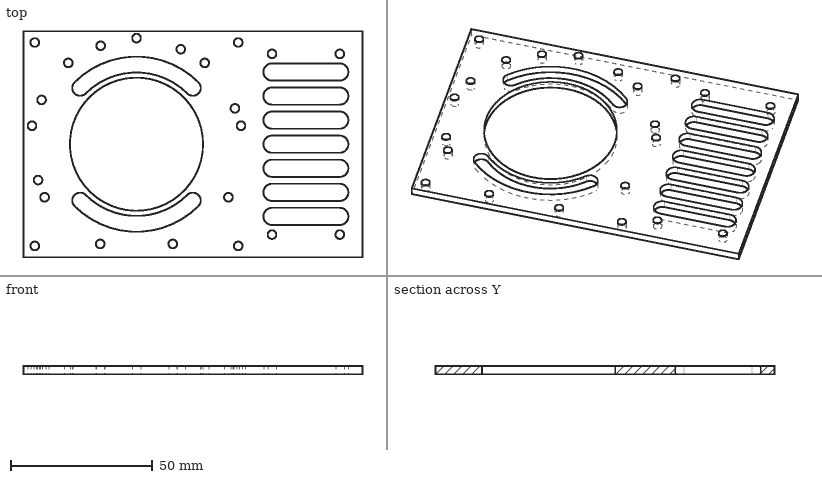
import cadquery as cq
import math

length = 120.0
width = 80.0
thickness = 3.0

opening_x = length / 3
opening_diameter = 47.0
hole_diameter = 3.0

arc_slot_inner_radius = 25.5
arc_slot_outer_radius = 31.0
arc_slot_half_angle = 45
arc_slot_end_radius = (arc_slot_inner_radius + arc_slot_outer_radius) / 2
arc_slot_end_diameter = arc_slot_outer_radius - arc_slot_inner_radius

full_ring_radius = 37.5
full_ring_count = 9
full_ring_start = 10
partial_ring_radius = 37.1
partial_ring_pitch = 45
partial_ring_start = 20
partial_ring_count = 5

corner_hole_spacing = 72.0

vent_x = 100.0
vent_count = 7
vent_pitch = 8.5
vent_length = 30.0
vent_width = 6.0
vent_hole_spacing_x = 24.0
vent_hole_spacing_y = 64.0


def polar(radius, angle):
    """Point at a radius and an angle in degrees about the opening centre."""
    a = math.radians(angle)
    return opening_x + radius * math.cos(a), radius * math.sin(a)


def arc_slot(middle_angle):
    """Cutter for a concentric slot with round ends."""
    start = middle_angle - arc_slot_half_angle
    end = middle_angle + arc_slot_half_angle
    band = (
        cq.Workplane("XY")
        .moveTo(*polar(arc_slot_outer_radius, start))
        .threePointArc(polar(arc_slot_outer_radius, middle_angle), polar(arc_slot_outer_radius, end))
        .lineTo(*polar(arc_slot_inner_radius, end))
        .threePointArc(polar(arc_slot_inner_radius, middle_angle), polar(arc_slot_inner_radius, start))
        .close()
        .extrude(thickness)
    )
    round_ends = (
        cq.Workplane("XY")
        .pushPoints([polar(arc_slot_end_radius, start), polar(arc_slot_end_radius, end)])
        .circle(arc_slot_end_diameter / 2)
        .extrude(thickness)
    )
    return band.union(round_ends)


def rectangle_corners(center_x, spacing_x, spacing_y):
    """Corners of a rectangle centred on the plate's long axis."""
    return [
        (center_x + side_x * spacing_x / 2, side_y * spacing_y / 2)
        for side_x in (-1, 1)
        for side_y in (-1, 1)
    ]


plate = cq.Workplane("XY").box(length, width, thickness, centered=(False, True, False))

opening = cq.Workplane("XY").center(opening_x, 0).circle(opening_diameter / 2).extrude(thickness)

vents = (
    cq.Workplane("XY")
    .center(vent_x, 0)
    .rarray(1.2, vent_pitch, 1, vent_count)
    .slot2D(vent_length, vent_width)
    .extrude(thickness)
)

full_ring_pitch = 360 / full_ring_count
hole_points = [
    polar(full_ring_radius, full_ring_start + i * full_ring_pitch) for i in range(full_ring_count)
]
hole_points += [
    polar(partial_ring_radius, partial_ring_start + i * partial_ring_pitch)
    for i in range(partial_ring_count)
]
hole_points += rectangle_corners(opening_x, corner_hole_spacing, corner_hole_spacing)
hole_points += rectangle_corners(vent_x, vent_hole_spacing_x, vent_hole_spacing_y)
holes = cq.Workplane("XY").pushPoints(hole_points).circle(hole_diameter / 2).extrude(thickness)

result = plate.cut(opening).cut(vents).cut(holes)
for slot_angle in (90, 270):
    result = result.cut(arc_slot(slot_angle))